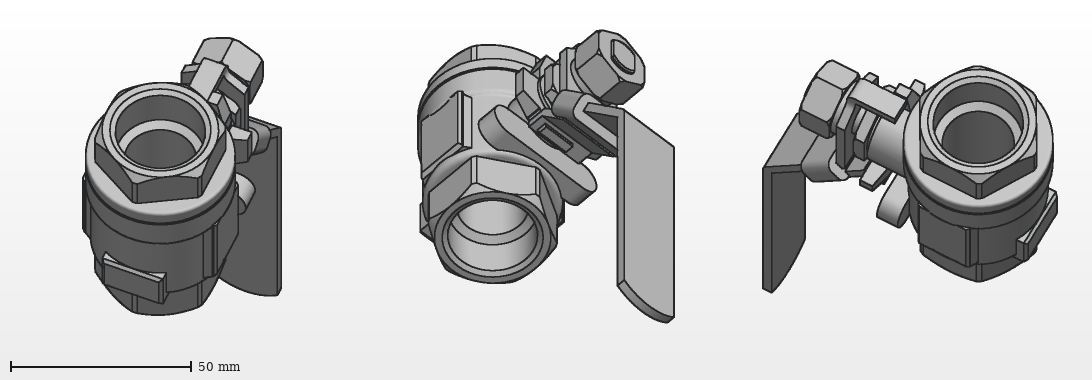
import cadquery as cq
import math


BODY_HALF_LENGTH = 32.8
BODY_RADIUS = 38.9 / 2
BODY_BOTTOM_Z = -18.8
BODY_BOTTOM_ROUND = 1.8
FLANGE_RADIUS = 20.8
FLANGE_TOP_Z = 21.5
FLANGE_BOTTOM_Z = 6.2
FLANGE_TOP_ROUND = 0.9
FLANGE_BOTTOM_ROUND = 2.0
NECK_FILLET = 0.9
SEAM_Z = 16.8
SEAM_WIDTH = 0.5
SEAM_DEPTH = 0.23

END_HEX_FLATS = 32.3
END_HEX_CORNER_RADIUS = 36.5 / 2
CORNER_CHAMFER = END_HEX_CORNER_RADIUS - END_HEX_FLATS / 2

PORT_RADIUS = 20.0 / 2
THREAD_RADIUS = 12.5
THREAD_DEPTH = 12.5
MOUTH_RADIUS = 14.0
MOUTH_DEPTH = 0.9
CONE_DEPTH = 1.4

SIDE_PAD_X = 20.3
SIDE_PAD_FACE_HALF = 7.4
SIDE_PAD_HALF = 8.2
SIDE_PAD_EDGE = SIDE_PAD_HALF - SIDE_PAD_FACE_HALF
SIDE_PAD_ROOT_X = 19.0
SIDE_PAD_BLEND_X = 16.9
SIDE_PAD_BLEND_HALF = 9.5
SIDE_PAD_BOTTOM_Z = -16.1
SIDE_PAD_BEVEL_X = 1.2
SIDE_PAD_BEVEL_Z = 1.2

LABEL_WIDTH = 18.3
LABEL_Y = -20.5
LABEL_BACK_Y = -13.4
LABEL_TOP_Z = -8.2
LABEL_BOTTOM_Z = -19.8
LABEL_CHAMFER = 0.9

LUG_LENGTH = 38.9
LUG_RADIUS = 5.2
LUG_Z = -12.6
LUG_FRONT_Y = 21.4
LUG_BACK_Y = 14.8

BOSS_RADIUS = 20.0 / 2
BOSS_END_Y = 29.7
COLLAR_RADIUS = 16.0 / 2
STEM_RADIUS = 11.0 / 2
STEM_FLATS = 8.0
STEM_END_Y = 53.0
STEM_CHAMFER = 0.5
GLAND_FLATS = 19.0
GLAND_START_Y = 30.9
GLAND_END_Y = 34.3
NUT_FLATS = 17.5
NUT_START_Y = 42.5
NUT_END_Y = 52.0
NUT_CHAMFER = 0.8

HANDLE_THICKNESS = 2.8
HANDLE_WIDTH = 19.0
TAB_WIDTH = 6.8
TAB_END_Y = 24.6
TAB_TOP_Z = 16.0
TAB_INNER_BEND_RADIUS = 0.6
TAB_OUTER_BEND_RADIUS = HANDLE_THICKNESS
SHOULDER_BOTTOM_Z = 7.2
SHOULDER_TOP_Z = 11.7
SHOULDER_FILLET = 2.9
PLATE_OUTER_Y = 39.8
GRIP_OUTER_Y = 63.0
GRIP_BEND_Z = -41.4
SLOPE_ANGLE = 48.0
GRIP_BEND_RADIUS = 3.5
GRIP_END_Z = BODY_HALF_LENGTH - 153.8
GRIP_END_SAG = 3.4

LOCK_THICKNESS = 2.5
LOCK_TOP_Z = -11.7
LOCK_BEND_Y = 31.0
LOCK_SLOPE_RUN = 9.2
SLEEVE_Y = 42.9
SLEEVE_Z = -21.7
SLEEVE_LENGTH = 13.0
SLEEVE_THICKNESS = 8.0
SLEEVE_WIDTH = 25.0
SLEEVE_ROUND = 2.6

STOP_OUTER_Y = 28.6
STOP_ROOT_Y = 23.5
STOP_ROOT_RADIUS = 9.2
STOP_OFFSET = 3.5
STOP_TIP_SIDE = 6.6
STOP_ROOT_SIDE = 9.0
TOP_STOP_RADIUS = 16.6
TOP_STOP_TIP_Y = 24.6
BOTTOM_STOP_RADIUS = 15.2
BOTTOM_STOP_TIP_Y = 25.7
RIGHT_STOP_RADIUS = 15.4
RIGHT_STOP_TIP_Y = 25.5
LEFT_STOP_RADIUS = 16.1
LEFT_STOP_TIP_Y = TOP_STOP_TIP_Y


def revolve_z(points):
    return cq.Workplane("XZ").polyline(points).close().revolve(360, (0, 0, 0), (0, 1, 0))


def cylinder_y(radius, start_y, end_y):
    return cq.Workplane("XZ", origin=(0, start_y, 0)).circle(radius).extrude(start_y - end_y)


def body():
    upper = (
        cq.Workplane("XY", origin=(0, 0, FLANGE_BOTTOM_Z))
        .circle(FLANGE_RADIUS)
        .extrude(FLANGE_TOP_Z - FLANGE_BOTTOM_Z)
        .faces("<Z").edges().fillet(FLANGE_BOTTOM_ROUND)
        .faces(">Z").edges().fillet(FLANGE_TOP_ROUND)
    )
    lower = (
        cq.Workplane("XY", origin=(0, 0, BODY_BOTTOM_Z))
        .circle(BODY_RADIUS)
        .extrude(SEAM_Z - BODY_BOTTOM_Z)
        .faces("<Z").edges().fillet(BODY_BOTTOM_ROUND)
    )
    seam = (
        cq.Workplane("XY", origin=(0, 0, SEAM_Z - SEAM_WIDTH / 2))
        .circle(FLANGE_RADIUS + SEAM_DEPTH)
        .circle(FLANGE_RADIUS - SEAM_DEPTH)
        .extrude(SEAM_WIDTH)
    )
    neck = cq.selectors.BoxSelector(
        (-BODY_RADIUS, -BODY_RADIUS, FLANGE_BOTTOM_Z),
        (BODY_RADIUS, BODY_RADIUS, FLANGE_BOTTOM_Z + FLANGE_BOTTOM_ROUND / 2),
    )
    return upper.union(lower).edges(neck).fillet(NECK_FILLET).cut(seam)


def end_hexes():
    hexagon = (
        cq.Workplane("XY", origin=(0, 0, -BODY_HALF_LENGTH))
        .polygon(6, END_HEX_FLATS, circumscribed=True)
        .extrude(2 * BODY_HALF_LENGTH)
    )
    envelope = (
        cq.Workplane("XY", origin=(0, 0, -BODY_HALF_LENGTH))
        .circle(END_HEX_CORNER_RADIUS)
        .extrude(2 * BODY_HALF_LENGTH)
        .edges("%CIRCLE").chamfer(CORNER_CHAMFER)
    )
    return hexagon.intersect(envelope)


def bore():
    cone_z = BODY_HALF_LENGTH - THREAD_DEPTH
    half = revolve_z([
        (0, 0),
        (PORT_RADIUS, 0),
        (PORT_RADIUS, cone_z - CONE_DEPTH),
        (THREAD_RADIUS, cone_z),
        (THREAD_RADIUS, BODY_HALF_LENGTH - MOUTH_DEPTH),
        (MOUTH_RADIUS, BODY_HALF_LENGTH),
        (0, BODY_HALF_LENGTH),
    ])
    return half.union(half.mirror("XY"))


def side_pads():
    edge = [
        (SIDE_PAD_X, SIDE_PAD_FACE_HALF),
        (SIDE_PAD_X - SIDE_PAD_EDGE, SIDE_PAD_HALF),
        (SIDE_PAD_ROOT_X, SIDE_PAD_HALF),
        (SIDE_PAD_BLEND_X, SIDE_PAD_BLEND_HALF),
    ]
    half_section = edge + [(-x, y) for x, y in reversed(edge)]
    section = half_section + [(-x, -y) for x, y in half_section]
    height = FLANGE_BOTTOM_Z + FLANGE_BOTTOM_ROUND - SIDE_PAD_BOTTOM_Z
    bar = cq.Workplane("XY", origin=(0, 0, SIDE_PAD_BOTTOM_Z)).polyline(section).close().extrude(height)
    bevel_z = SIDE_PAD_BOTTOM_Z + SIDE_PAD_BEVEL_Z
    top_z = SIDE_PAD_BOTTOM_Z + height
    bottom_x = SIDE_PAD_X - SIDE_PAD_BEVEL_X
    beveled = (
        cq.Workplane("XZ")
        .polyline([
            (-bottom_x, SIDE_PAD_BOTTOM_Z),
            (bottom_x, SIDE_PAD_BOTTOM_Z),
            (SIDE_PAD_X, bevel_z),
            (SIDE_PAD_X, top_z),
            (-SIDE_PAD_X, top_z),
            (-SIDE_PAD_X, bevel_z),
        ])
        .close()
        .extrude(SIDE_PAD_BLEND_HALF, both=True)
    )
    return bar.intersect(beveled)


def label_pad():
    height = LABEL_TOP_Z - LABEL_BOTTOM_Z
    return (
        cq.Workplane("XZ", origin=(0, LABEL_BACK_Y, LABEL_BOTTOM_Z + height / 2))
        .rect(LABEL_WIDTH, height)
        .extrude(LABEL_BACK_Y - LABEL_Y)
        .faces("<Y").edges().chamfer(LABEL_CHAMFER)
    )


def cross_lug():
    return (
        cq.Workplane("XZ", origin=(0, LUG_BACK_Y, LUG_Z))
        .slot2D(LUG_LENGTH, 2 * LUG_RADIUS)
        .extrude(LUG_BACK_Y - LUG_FRONT_Y)
    )


def hex_nut(flats, start_y, end_y, chamfered_faces):
    """Hexagon along Y with corners on Z and conical chamfers on the chosen faces."""
    length = end_y - start_y
    workplane = cq.Workplane("XZ", origin=(0, start_y, 0))
    hexagon = workplane.polygon(6, flats, circumscribed=True).extrude(-length)
    corner_radius = flats / math.sqrt(3)
    envelope = workplane.circle(corner_radius).extrude(-length)
    return hexagon.intersect(envelope.faces(chamfered_faces).edges().chamfer(NUT_CHAMFER))


def stem():
    end = (
        cylinder_y(STEM_RADIUS, NUT_END_Y, STEM_END_Y)
        .faces(">Y").edges().chamfer(STEM_CHAMFER)
        .intersect(cq.Workplane("XY").box(STEM_FLATS, 2 * STEM_END_Y, 2 * STEM_RADIUS))
    )
    return (
        cylinder_y(BOSS_RADIUS, 0, BOSS_END_Y)
        .union(cylinder_y(COLLAR_RADIUS, BOSS_END_Y, GLAND_START_Y))
        .union(hex_nut(GLAND_FLATS, GLAND_START_Y, GLAND_END_Y, ">Y"))
        .union(cylinder_y(STEM_RADIUS, GLAND_END_Y, NUT_START_Y))
        .union(cylinder_y(COLLAR_RADIUS, PLATE_OUTER_Y, NUT_START_Y))
        .union(hex_nut(NUT_FLATS, NUT_START_Y, NUT_END_Y, "<Y or >Y"))
        .union(end)
    )


def bent_sheet(path, thickness, width):
    """Sheet of even thickness on the right-hand side of a (y, z) path, centred on X = 0."""
    headings = [
        math.atan2(end[1] - start[1], end[0] - start[0])
        for start, end in zip(path, path[1:])
    ]
    before = headings[:1] + headings
    after = headings + headings[-1:]
    inner = []
    for (y, z), arriving, leaving in zip(path, before, after):
        normal = (arriving + leaving) / 2 - math.pi / 2
        reach = thickness / math.cos((leaving - arriving) / 2)
        inner.append((y + reach * math.cos(normal), z + reach * math.sin(normal)))
    return cq.Workplane("YZ").polyline(path + inner[::-1]).close().extrude(width / 2, both=True)


def handle():
    slope_drop = (GRIP_OUTER_Y - PLATE_OUTER_Y) * math.tan(math.radians(SLOPE_ANGLE))
    sheet = bent_sheet(
        [
            (TAB_END_Y, TAB_TOP_Z),
            (PLATE_OUTER_Y, TAB_TOP_Z),
            (PLATE_OUTER_Y, GRIP_BEND_Z + slope_drop),
            (GRIP_OUTER_Y, GRIP_BEND_Z),
            (GRIP_OUTER_Y, GRIP_END_Z),
        ],
        HANDLE_THICKNESS,
        HANDLE_WIDTH,
    )
    top_corner = cq.selectors.NearestToPointSelector((0, PLATE_OUTER_Y, TAB_TOP_Z))
    grip_corner = cq.selectors.NearestToPointSelector((0, GRIP_OUTER_Y, GRIP_BEND_Z))
    inner_corner = cq.selectors.NearestToPointSelector(
        (0, PLATE_OUTER_Y - HANDLE_THICKNESS, TAB_TOP_Z - HANDLE_THICKNESS)
    )
    sheet = sheet.edges("|X").edges(top_corner).fillet(TAB_OUTER_BEND_RADIUS)
    sheet = sheet.edges("|X").edges(inner_corner).fillet(TAB_INNER_BEND_RADIUS)
    sheet = sheet.edges("|X").edges(grip_corner).fillet(GRIP_BEND_RADIUS)
    half_width = HANDLE_WIDTH / 2
    half_tab = TAB_WIDTH / 2
    outline = (
        cq.Workplane("XZ")
        .moveTo(-half_tab, TAB_TOP_Z)
        .lineTo(-half_tab, SHOULDER_TOP_Z)
        .lineTo(-half_width, SHOULDER_BOTTOM_Z)
        .lineTo(-half_width, GRIP_END_Z + GRIP_END_SAG)
        .threePointArc((0, GRIP_END_Z), (half_width, GRIP_END_Z + GRIP_END_SAG))
        .lineTo(half_width, SHOULDER_BOTTOM_Z)
        .lineTo(half_tab, SHOULDER_TOP_Z)
        .lineTo(half_tab, TAB_TOP_Z)
        .close()
        .extrude(-GRIP_OUTER_Y)
    )
    shoulder_roots = cq.selectors.BoxSelector(
        (-TAB_WIDTH, 0, SHOULDER_TOP_Z - SHOULDER_FILLET),
        (TAB_WIDTH, GRIP_OUTER_Y, SHOULDER_TOP_Z + SHOULDER_FILLET),
    )
    outline = outline.edges("|Y").edges(shoulder_roots).fillet(SHOULDER_FILLET)
    return sheet.intersect(outline)


def lock_plate():
    drop = LOCK_SLOPE_RUN * math.tan(math.radians(SLOPE_ANGLE))
    return bent_sheet(
        [
            (TAB_END_Y, LOCK_TOP_Z),
            (LOCK_BEND_Y, LOCK_TOP_Z),
            (LOCK_BEND_Y + LOCK_SLOPE_RUN, LOCK_TOP_Z - drop),
        ],
        LOCK_THICKNESS,
        HANDLE_WIDTH,
    )


def sleeve():
    return (
        cq.Workplane("XY")
        .box(SLEEVE_WIDTH, SLEEVE_LENGTH, SLEEVE_THICKNESS)
        .edges("|Y").fillet(SLEEVE_ROUND)
        .rotate((0, 0, 0), (1, 0, 0), -SLOPE_ANGLE)
        .translate((0, SLEEVE_Y, SLEEVE_Z))
    )


def stop_arm(tip_radius, tip_y, near_side):
    """Stop arm pointing to +Z with its upright side at X = near_side."""
    front = (
        cq.Workplane("XZ")
        .polyline([
            (near_side, 0),
            (near_side, tip_radius),
            (STOP_TIP_SIDE, tip_radius),
            (STOP_ROOT_SIDE, STOP_ROOT_RADIUS),
            (STOP_ROOT_SIDE, 0),
        ])
        .close()
        .extrude(-STOP_OUTER_Y)
    )
    side = (
        cq.Workplane("YZ")
        .polyline([
            (STOP_OUTER_Y, 0),
            (STOP_OUTER_Y, tip_radius),
            (tip_y, tip_radius),
            (STOP_ROOT_Y, STOP_ROOT_RADIUS),
            (STOP_ROOT_Y, 0),
        ])
        .close()
        .extrude(STOP_ROOT_SIDE, both=True)
    )
    return front.intersect(side)


def stops():
    """Four arms; the bottom and right ones are wide, the top and left ones narrow."""
    stem_axis = (0, 0, 0), (0, 1, 0)
    top = stop_arm(TOP_STOP_RADIUS, TOP_STOP_TIP_Y, STOP_OFFSET)
    bottom = stop_arm(BOTTOM_STOP_RADIUS, BOTTOM_STOP_TIP_Y, -STOP_OFFSET).mirror("XY")
    right = stop_arm(RIGHT_STOP_RADIUS, RIGHT_STOP_TIP_Y, -STOP_OFFSET).rotate(*stem_axis, 90)
    left = stop_arm(LEFT_STOP_RADIUS, LEFT_STOP_TIP_Y, STOP_OFFSET).rotate(*stem_axis, 90).mirror("YZ")
    return top.union(bottom).union(right).union(left)


result = (
    body()
    .union(end_hexes())
    .union(side_pads())
    .union(label_pad())
    .union(cross_lug())
    .union(stem())
    .union(stops())
    .cut(bore())
    .union(handle())
    .union(lock_plate())
    .union(sleeve())
)